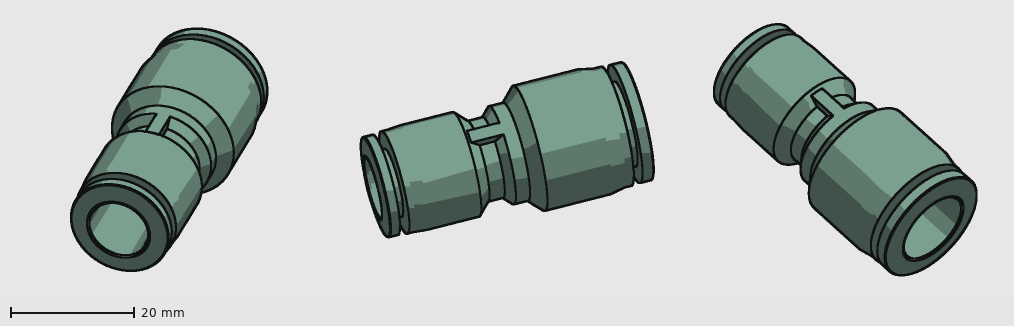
import cadquery as cq

LENGTH = 45.25

SLEEVE_DISH_DEPTH = 0.5
SLEEVE_EDGE = 0.15

ENTRY_WIDTH = 0.35
ENTRY_DEPTH = 0.2
LEAD_WIDTH = 0.15
LEAD_DEPTH = 0.55
MOUTH_WIDTH = ENTRY_WIDTH + LEAD_WIDTH
MOUTH_DEPTH = ENTRY_DEPTH + LEAD_DEPTH

SMALL_FLANGE_R = 8.4
SMALL_FLANGE_END = 2.15
SMALL_NECK_R = 5.7
SMALL_TUBE_R = 4.95
LARGE_FLANGE_R = 9.9
LARGE_FLANGE_END = 2.45
LARGE_NECK_R = 7.15
LARGE_TUBE_R = 6.0

SMALL_BODY_R = 8.8
SMALL_BODY_END_R = 8.6
SMALL_BODY_START = 3.55
SMALL_BAND_END = 4.85
SMALL_TAPER_END = 6.92
SMALL_BODY_END = 15.85

BEVEL_WIDTH = 0.9
BEVEL_DEPTH = 0.2

WAIST_R = 6.8
COLLAR_R = 8.25
COLLAR_START = 21.85
COLLAR_END = 24.25

LARGE_BODY_R = 10.5
LARGE_BODY_END_R = 10.0
LARGE_TAPER_START = 37.55
LARGE_BAND_START = 40.0
LARGE_BODY_END = 41.5

RIB_WIDTH = 2.35

THROUGH_R = 4.0
SMALL_TUBE_DEPTH = 18.1
LARGE_TUBE_DEPTH = 20.35


def revolve(points):
    """Revolve a closed (radius, station) outline about the Y axis."""
    outline = cq.Workplane("XY").polyline(points).close()
    return outline.revolve(360, (0, 0, 0), (0, 1, 0))


def sleeve_outline(tube_r, flange_r, flange_end, neck_r, body_start):
    """Outer outline of one sleeve, from its mouth to the body face."""
    return [
        (tube_r + MOUTH_WIDTH, 0),
        (flange_r - SLEEVE_EDGE, SLEEVE_DISH_DEPTH),
        (flange_r, SLEEVE_DISH_DEPTH + SLEEVE_EDGE),
        (flange_r, flange_end),
        (neck_r, flange_end),
        (neck_r, body_start),
    ]


def make_outside():
    small_sleeve = sleeve_outline(
        SMALL_TUBE_R, SMALL_FLANGE_R, SMALL_FLANGE_END, SMALL_NECK_R, SMALL_BODY_START
    )
    large_sleeve = sleeve_outline(
        LARGE_TUBE_R, LARGE_FLANGE_R, LARGE_FLANGE_END, LARGE_NECK_R, LENGTH - LARGE_BODY_END
    )
    body = [
        (SMALL_BODY_END_R - BEVEL_WIDTH, SMALL_BODY_START),
        (SMALL_BODY_END_R, SMALL_BODY_START + BEVEL_DEPTH),
        (SMALL_BODY_END_R, SMALL_BAND_END),
        (SMALL_BODY_R, SMALL_TAPER_END),
        (SMALL_BODY_R, SMALL_BODY_END),
        (WAIST_R, SMALL_BODY_END + SMALL_BODY_R - WAIST_R),
        (WAIST_R, COLLAR_START - (COLLAR_R - WAIST_R)),
        (COLLAR_R, COLLAR_START),
        (COLLAR_R, COLLAR_END),
        (LARGE_BODY_R, COLLAR_END + LARGE_BODY_R - COLLAR_R),
        (LARGE_BODY_R, LARGE_TAPER_START),
        (LARGE_BODY_END_R, LARGE_BAND_START),
        (LARGE_BODY_END_R, LARGE_BODY_END - BEVEL_DEPTH),
        (LARGE_BODY_END_R - BEVEL_WIDTH, LARGE_BODY_END),
    ]
    mirrored_sleeve = [(radius, LENGTH - station) for radius, station in reversed(large_sleeve)]
    return revolve([(0, 0)] + small_sleeve + body + mirrored_sleeve + [(0, LENGTH)])


def make_ribs():
    """One full-height web, rounded to the collar radius, forms both ribs."""
    rib_length = COLLAR_END - SMALL_BODY_END
    rib_middle = (COLLAR_END + SMALL_BODY_END) / 2
    web = cq.Workplane("XY").box(RIB_WIDTH, rib_length, 2 * COLLAR_R).translate((0, rib_middle, 0))
    envelope = revolve([(0, 0), (COLLAR_R, 0), (COLLAR_R, LENGTH), (0, LENGTH)])
    return web.intersect(envelope)


def make_bore():
    large_stop = LENGTH - LARGE_TUBE_DEPTH
    return revolve([
        (0, 0),
        (SMALL_TUBE_R + MOUTH_WIDTH, 0),
        (SMALL_TUBE_R + LEAD_WIDTH, ENTRY_DEPTH),
        (SMALL_TUBE_R, MOUTH_DEPTH),
        (SMALL_TUBE_R, SMALL_TUBE_DEPTH),
        (THROUGH_R, SMALL_TUBE_DEPTH),
        (THROUGH_R, large_stop),
        (LARGE_TUBE_R, large_stop),
        (LARGE_TUBE_R, LENGTH - MOUTH_DEPTH),
        (LARGE_TUBE_R + LEAD_WIDTH, LENGTH - ENTRY_DEPTH),
        (LARGE_TUBE_R + MOUTH_WIDTH, LENGTH),
        (0, LENGTH),
    ])


fitting = make_outside().union(make_ribs()).cut(make_bore())

result = fitting.translate((0, -LENGTH / 2, 0))